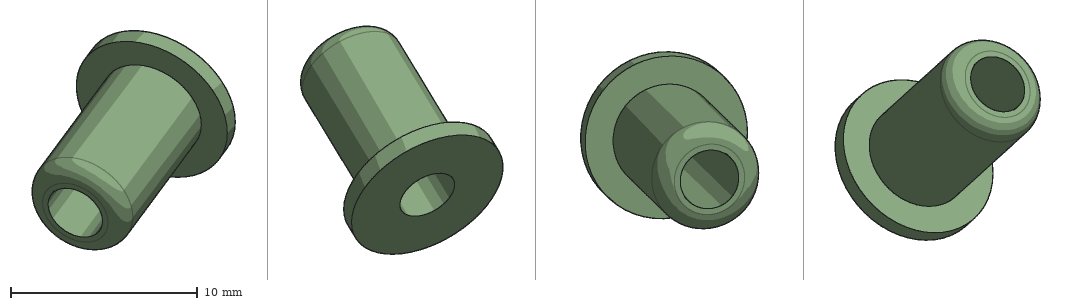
import cadquery as cq

flange_diameter = 9.0
flange_thickness = 1.0
sleeve_diameter = 5.9
bore_diameter = 3.24
overall_length = 10.5
nose_radius = 1.0

sleeve_length = overall_length - flange_thickness


def make_flange():
    """Disc from the flange's seating face at Y = 0 to its outer face."""
    return cq.Workplane("XZ").circle(flange_diameter / 2).extrude(-flange_thickness)


def make_sleeve():
    """Cylinder running from the flange toward -Y, with a rounded nose."""
    sleeve = cq.Workplane("XZ").circle(sleeve_diameter / 2).extrude(sleeve_length)
    return sleeve.faces("<Y").edges().fillet(nose_radius)


def make_bore():
    """Cylinder for the through hole, spanning flange and sleeve."""
    flange_face = cq.Workplane("XZ", origin=(0, flange_thickness, 0))
    return flange_face.circle(bore_diameter / 2).extrude(overall_length)


result = make_flange().union(make_sleeve()).cut(make_bore())